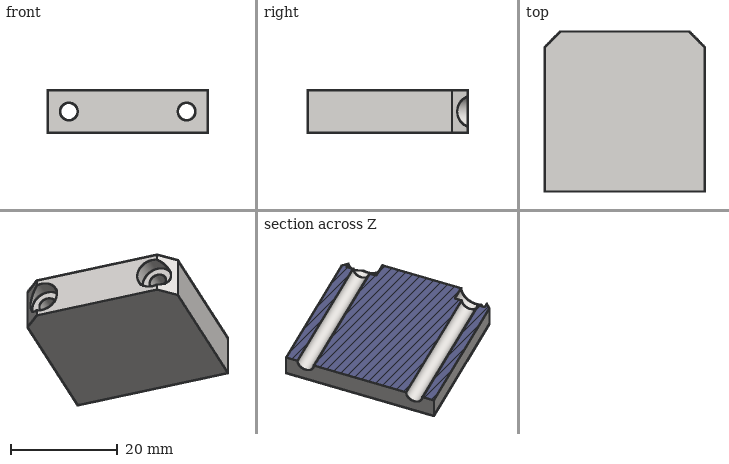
import cadquery as cq

side = 30.0
thickness = 8.0
corner_chamfer = 3.0

hole_edge_distance = 4.0
hole_spacing = side - 2 * hole_edge_distance
hole_diameter = 3.25
counterbore_diameter = 6.0
counterbore_depth = 3.0


def make_block():
    """Square plate with its two +Y corners cut at 45 degrees."""
    plate = cq.Workplane("XY").box(side, side, thickness)
    return plate.edges("|Z and >Y").chamfer(corner_chamfer)


def make_screw_hole(x):
    """Through hole along Y; its counterbore breaks out through the corner cut."""
    back_face = cq.Workplane("XZ", origin=(x, side / 2, 0))
    shank = back_face.circle(hole_diameter / 2).extrude(side)
    head = back_face.circle(counterbore_diameter / 2).extrude(counterbore_depth)
    return shank.union(head)


result = make_block()
for hole_x in (-hole_spacing / 2, hole_spacing / 2):
    result = result.cut(make_screw_hole(hole_x))